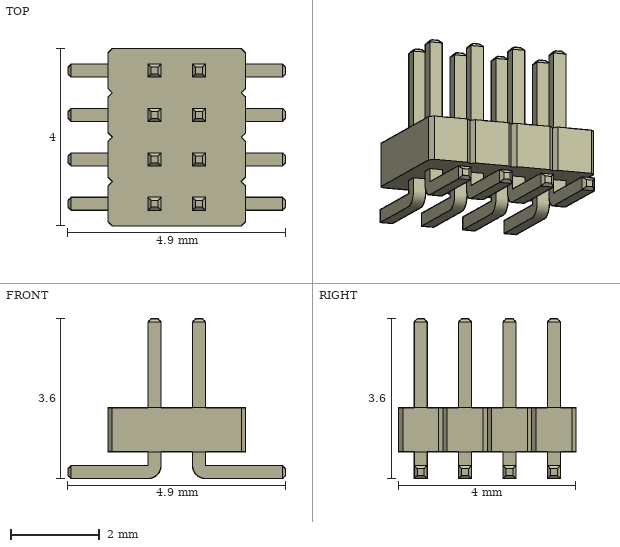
import cadquery as cq

overall_length = 4.9
pitch = 1.0
pin_pairs = 4
body_length = 3.1
body_height = 1.0
corner_chamfer = 0.1
pin_size = 0.3
pin_above_body = 2.0
tail_drop = 0.605
tip_chamfer = 0.075

tail_end_x = overall_length / 2
pin_inner_x = (pitch - pin_size) / 2
pin_outer_x = pin_inner_x + pin_size
pin_top = tail_drop + body_height + pin_above_body
first_pair_y = -pitch * (pin_pairs - 1) / 2


def body_segment():
    """Housing block around one pair of pins; chamfers of neighbours meet as V notches."""
    return (
        cq.Workplane("XY", origin=(0, 0, tail_drop))
        .box(body_length, pitch, body_height, centered=(True, True, False))
        .edges("|Z")
        .chamfer(corner_chamfer)
    )


def bent_pin():
    """Square L-shaped pin at +X: rounded outside the bend, sharp inside, both tips tapered."""
    return (
        cq.Workplane("XZ")
        .moveTo(pin_inner_x, pin_top)
        .lineTo(pin_outer_x, pin_top)
        .lineTo(pin_outer_x, pin_size)
        .lineTo(tail_end_x, pin_size)
        .lineTo(tail_end_x, 0)
        .lineTo(pin_outer_x, 0)
        .radiusArc((pin_inner_x, pin_size), pin_size)
        .close()
        .extrude(pin_size / 2, both=True)
        .faces(">Z or >X")
        .chamfer(tip_chamfer)
    )


right_pin = bent_pin()
left_pin = right_pin.mirror("YZ")
pair_module = body_segment().union(right_pin).union(left_pin)

result = pair_module.translate((0, first_pair_y, 0))
for pair in range(1, pin_pairs):
    result = result.union(pair_module.translate((0, first_pair_y + pair * pitch, 0)))
result = result.clean()